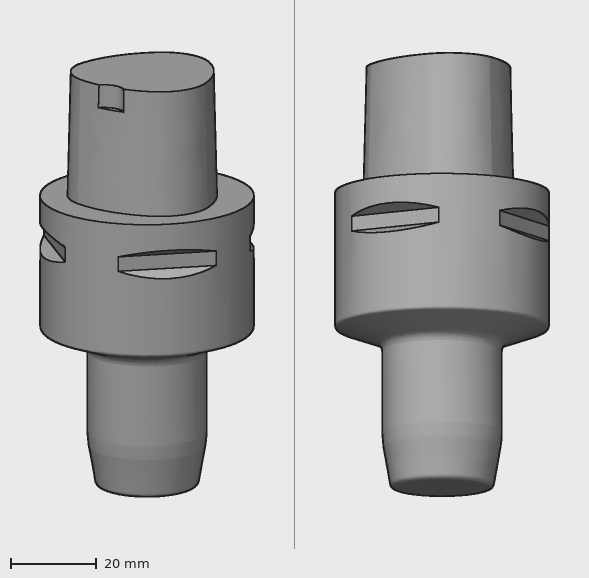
import cadquery as cq
import math

TOTAL_HEIGHT = 100.0
COLLAR_TOP = 70.0
COLLAR_BOTTOM = 38.0
NOSE_HEIGHT = 11.4

COLLAR_RADIUS = 25.0
SHANK_RADIUS = 14.0
NOSE_ANGLE = 10.0
SHOULDER_ANGLE = 20.0
NOSE_BLEND_RADIUS = 20.0
NECK_FILLET = 2.2
COLLAR_FILLET = 0.8
TIP_FILLET = 1.2

LOBE_REACH = 18.6
FLANK_REACH = 16.4
LOBE_RADIUS = 12.2
TAPER_PER_LENGTH = 0.025

NOTCH_DEPTH = 5.5
NOTCH_RADIUS = 4.7
NOTCH_INNER_Y = -14.0

SLOT_COUNT = 4
SLOT_START_ANGLE = 45.0
SLOT_FLOOR_DISTANCE = 22.1
SLOT_FLOOR_HEIGHT = 3.5
SLOT_CENTER_Z = 60.2
SLOT_WALL_ANGLE = 30.0


def polar(radius, degrees):
    angle = math.radians(degrees)
    return radius * math.cos(angle), radius * math.sin(angle)


def make_body():
    """Collar, conical shoulder, cylindrical neck and tapered nose."""
    tip_radius = SHANK_RADIUS - NOSE_HEIGHT * math.tan(math.radians(NOSE_ANGLE))
    shoulder_drop = (COLLAR_RADIUS - SHANK_RADIUS) * math.tan(math.radians(SHOULDER_ANGLE))
    neck_top = COLLAR_BOTTOM - shoulder_drop
    body = (
        cq.Workplane("XZ")
        .moveTo(0, 0)
        .lineTo(tip_radius, 0)
        .lineTo(SHANK_RADIUS, NOSE_HEIGHT)
        .lineTo(SHANK_RADIUS, neck_top)
        .lineTo(COLLAR_RADIUS, COLLAR_BOTTOM)
        .lineTo(COLLAR_RADIUS, COLLAR_TOP)
        .lineTo(0, COLLAR_TOP)
        .close()
        .revolve(360, (0, 0, 0), (0, 1, 0))
    )
    rounded_edges = (
        (COLLAR_BOTTOM, COLLAR_FILLET),
        (neck_top, NECK_FILLET),
        (NOSE_HEIGHT, NOSE_BLEND_RADIUS),
        (0, TIP_FILLET),
    )
    for height, fillet in rounded_edges:
        edge = cq.selectors.NearestToPointSelector((0, 0, height))
        body = body.edges("%CIRCLE").edges(edge).fillet(fillet)
    return body


def make_taper_shank():
    """Outline of six tangent arcs: three lobes joined by three flatter flanks."""
    lobe_center = LOBE_REACH - LOBE_RADIUS
    gap = FLANK_REACH - LOBE_RADIUS
    flank_center = (lobe_center**2 - gap**2) / (2 * gap - lobe_center)
    lobe_x, lobe_y = polar(lobe_center, 60)
    tangent_angle = math.atan2(lobe_y, lobe_x + flank_center)
    flank_radius = FLANK_REACH + flank_center
    joint_x = flank_radius * math.cos(tangent_angle) - flank_center
    joint_y = flank_radius * math.sin(tangent_angle)
    joint_reach = math.hypot(joint_x, joint_y)
    joint_angle = math.degrees(math.atan2(joint_y, joint_x))

    outline = cq.Workplane("XY").workplane(offset=COLLAR_TOP)
    first_flank = -90
    outline = outline.moveTo(*polar(joint_reach, first_flank - joint_angle))
    for flank in (first_flank, first_flank + 120, first_flank + 240):
        outline = outline.threePointArc(
            polar(FLANK_REACH, flank), polar(joint_reach, flank + joint_angle)
        )
        outline = outline.threePointArc(
            polar(LOBE_REACH, flank + 60), polar(joint_reach, flank + 120 - joint_angle)
        )
    taper = math.degrees(math.atan(TAPER_PER_LENGTH))
    return outline.close().extrude(TOTAL_HEIGHT - COLLAR_TOP, taper=taper)


def make_notch():
    return (
        cq.Workplane("XY")
        .workplane(offset=TOTAL_HEIGHT - NOTCH_DEPTH)
        .center(0, NOTCH_INNER_Y - NOTCH_RADIUS)
        .circle(NOTCH_RADIUS)
        .extrude(NOTCH_DEPTH)
    )


def make_gripper_slot(angle):
    """Straight slot with a flat floor and walls that flare outward."""
    half_floor = SLOT_FLOOR_HEIGHT / 2
    flare = (COLLAR_RADIUS - SLOT_FLOOR_DISTANCE) * math.tan(math.radians(SLOT_WALL_ANGLE))
    half_mouth = half_floor + flare
    return (
        cq.Workplane("XZ")
        .moveTo(SLOT_FLOOR_DISTANCE, SLOT_CENTER_Z - half_floor)
        .lineTo(COLLAR_RADIUS, SLOT_CENTER_Z - half_mouth)
        .lineTo(COLLAR_RADIUS, SLOT_CENTER_Z + half_mouth)
        .lineTo(SLOT_FLOOR_DISTANCE, SLOT_CENTER_Z + half_floor)
        .close()
        .extrude(COLLAR_RADIUS, both=True)
        .rotate((0, 0, 0), (0, 0, 1), angle)
    )


result = make_body().union(make_taper_shank()).cut(make_notch())
for index in range(SLOT_COUNT):
    result = result.cut(make_gripper_slot(SLOT_START_ANGLE + index * 360 / SLOT_COUNT))